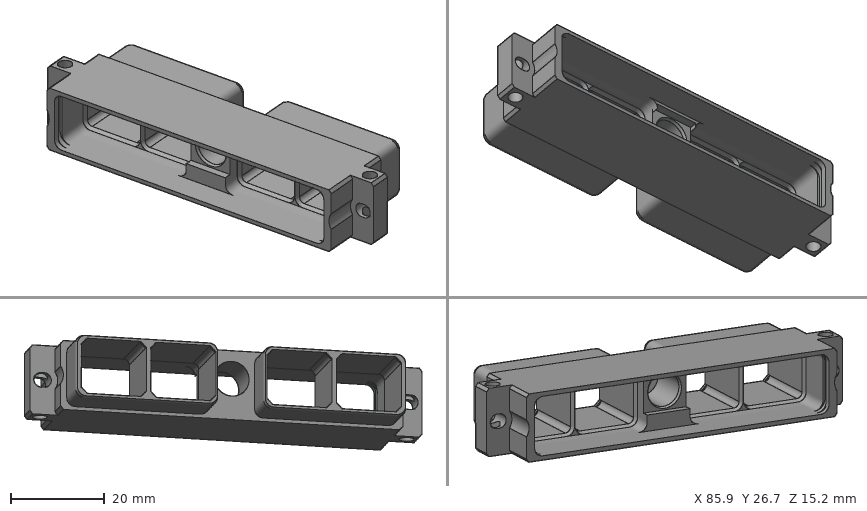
import cadquery as cq


body_width = 74.9
body_height = 15.16
body_depth = 17.9
overall_width = 85.88
overall_depth = 26.73
ear_front_y = 7.75
ear_thickness = 5.0
edge_chamfer_x = 0.6
edge_chamfer_z = 0.75

ear_hole_x = 40.15
ear_hole_diameter = 3.2
ear_slot_length = 3.8
groove_radius = 3.3

socket_center_x = 20.57
socket_width = 31.1
socket_height = 13.65
socket_corner_radius = 1.9
socket_tip_length = 0.75
socket_tip_inset = 0.2

cavity_height = 13.2
cavity_corner_radius = 2.0
end_groove_y = 1.4
end_groove_width = 1.4
end_groove_depth = 0.5
cavity_width = 71.0
cavity_depth = 7.9

center_block_width = 10.3
pocket_taper_depth = 1.6
pocket_taper_inset = 0.1
pocket_depth = 2.4

window_width = 14.2
window_height = 12.1
window_corner_radius = 1.3
window_lip_thickness = 0.75
window_lip_corner_cut = 1.25
window_pitch = 15.2
window_lead_in_depth = 1.0
window_lead_in = 0.45

block_front_y = 6.0
recess_depth = 1.75
recess_height = 8.8
bore_z = 1.4
bore_diameter = 7.6
bore_lead_in = 0.25
bore_lead_in_depth = 0.7

pocket_width = (cavity_width - center_block_width) / 2
pocket_center_x = (cavity_width + center_block_width) / 4
pocket_end_y = cavity_depth + pocket_depth
block_depth = body_depth - block_front_y


def box_at(x, y, z, width, depth, height):
    """Box centred on x and z that starts at y and runs toward +Y."""
    return cq.Workplane("XY").box(width, depth, height).translate((x, y + depth / 2, z))


def plane_at(x, y, z=0):
    """Workplane at y that faces +Y and keeps Z up."""
    return cq.Workplane(cq.Plane(origin=(x, y, z), xDir=(-1, 0, 0), normal=(0, 1, 0)))


def rounded_section(width, height, radius):
    return cq.Sketch().rect(width, height).vertices().fillet(radius)


def rounded_prism(x, y, width, height, radius, depth):
    """Prism along +Y with rounded corners."""
    return plane_at(x, y).placeSketch(rounded_section(width, height, radius)).extrude(depth)


def rounded_taper(x, y, width, height, radius, depth, inset_x, inset_z, end_radius):
    """Prism along +Y whose four sides move inward by the insets over its depth."""
    start = rounded_section(width, height, radius)
    end = rounded_section(width - 2 * inset_x, height - 2 * inset_z, end_radius)
    end = end.moved(cq.Location(cq.Vector(0, 0, depth)))
    return plane_at(x, y).placeSketch(start, end).loft()


def chamfered_slab(width, y, depth):
    """Slab of full body height with its four long edges bevelled."""
    x_end = width / 2
    x_flat = x_end - edge_chamfer_x
    z_end = body_height / 2
    z_flat = z_end - edge_chamfer_z
    outline = [
        (-x_flat, -z_end), (x_flat, -z_end), (x_end, -z_flat), (x_end, z_flat),
        (x_flat, z_end), (-x_flat, z_end), (-x_end, z_flat), (-x_end, -z_flat),
    ]
    return plane_at(0, y).polyline(outline).close().extrude(depth)


def make_socket(x):
    straight_length = overall_depth - body_depth - socket_tip_length
    straight = rounded_prism(
        x, body_depth, socket_width, socket_height, socket_corner_radius, straight_length
    )
    tip = rounded_taper(
        x, body_depth + straight_length, socket_width, socket_height, socket_corner_radius,
        socket_tip_length, socket_tip_inset, socket_tip_inset, socket_corner_radius,
    )
    return straight.union(tip)


def make_cavity():
    """Open front cavity with a shallow groove in each end wall."""
    main = rounded_prism(0, 0, cavity_width, cavity_height, cavity_corner_radius, block_front_y)
    end_grooves = rounded_prism(
        0, end_groove_y, cavity_width + 2 * end_groove_depth, cavity_height,
        cavity_corner_radius + end_groove_depth, end_groove_width,
    )
    return main.union(end_grooves)


def make_pocket(x):
    """Pocket beside the central block whose top and bottom close in a little toward its floor."""
    entry = rounded_prism(
        x, block_front_y, pocket_width, cavity_height, cavity_corner_radius, cavity_depth - block_front_y
    )
    taper = rounded_taper(
        x, cavity_depth, pocket_width, cavity_height, cavity_corner_radius,
        pocket_taper_depth, 0, pocket_taper_inset, cavity_corner_radius,
    )
    floor = rounded_prism(
        x, cavity_depth, pocket_width, cavity_height - 2 * pocket_taper_inset,
        cavity_corner_radius, pocket_depth,
    )
    return entry.union(taper).union(floor)


def make_window(x):
    """Through window with a flared lead-in and a rear lip that webs its four corners."""
    opening_depth = overall_depth - window_lip_thickness - pocket_end_y
    opening = rounded_prism(
        x, pocket_end_y, window_width, window_height, window_corner_radius, opening_depth
    )
    lead_in = rounded_taper(
        x, pocket_end_y, window_width + 2 * window_lead_in, window_height + 2 * window_lead_in,
        cavity_corner_radius, window_lead_in_depth, window_lead_in, window_lead_in, window_corner_radius,
    )
    lip_opening = (
        box_at(x, pocket_end_y, 0, window_width, overall_depth - pocket_end_y, window_height)
        .edges("|Y")
        .chamfer(window_lip_corner_cut)
    )
    return opening.union(lead_in).union(lip_opening)


def make_bore():
    """Recess in the front of the central block and the flared bore behind it."""
    recess_end_y = block_front_y + recess_depth
    recess = box_at(0, block_front_y, bore_z, center_block_width, recess_depth, recess_height)
    bore = plane_at(0, block_front_y, bore_z).circle(bore_diameter / 2).extrude(block_depth)
    flare = (
        plane_at(0, recess_end_y, bore_z)
        .circle(bore_diameter / 2 + bore_lead_in)
        .workplane(offset=bore_lead_in_depth)
        .circle(bore_diameter / 2)
        .loft()
    )
    return recess.union(bore).union(flare)


def make_ear_holes(x):
    """Slot along Y and round hole along Z, crossing in the ear."""
    slot = plane_at(x, ear_front_y).slot2D(ear_slot_length, ear_hole_diameter).extrude(ear_thickness)
    cross_hole = (
        cq.Workplane("XY", origin=(x, ear_front_y + ear_thickness / 2, -body_height / 2))
        .circle(ear_hole_diameter / 2)
        .extrude(body_height)
    )
    return slot.union(cross_hole)


body = chamfered_slab(body_width, 0, body_depth)
for side in (-1, 1):
    body = body.cut(plane_at(side * ear_hole_x, 0).circle(groove_radius).extrude(body_depth))

result = body.union(chamfered_slab(overall_width, ear_front_y, ear_thickness))
for side in (-1, 1):
    result = result.union(make_socket(side * socket_center_x))

result = result.cut(make_cavity())
for side in (-1, 1):
    result = result.cut(make_pocket(side * pocket_center_x))
    for offset in (-window_pitch / 2, window_pitch / 2):
        result = result.cut(make_window(side * pocket_center_x + offset))
    result = result.cut(make_ear_holes(side * ear_hole_x))
result = result.cut(make_bore())